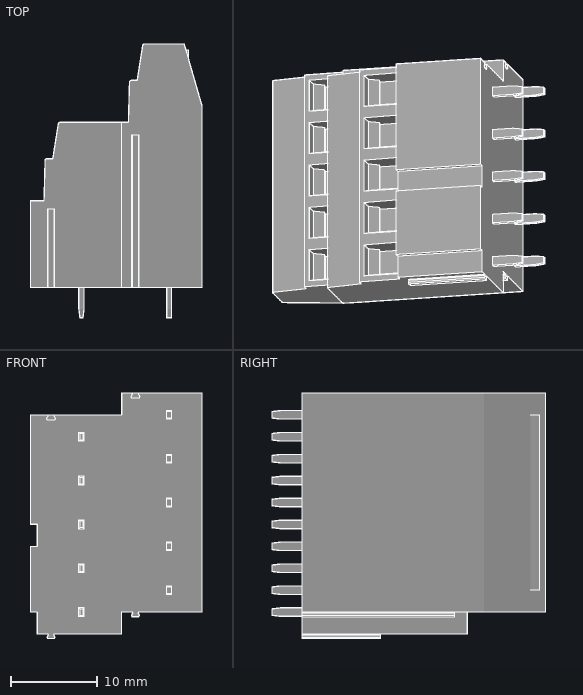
import cadquery as cq


POLES = 5
PITCH = 5.07
TIER_LENGTH = POLES * PITCH
UPPER_Z = PITCH / 2
TOTAL_WIDTH = 19.85
TIER_SPLIT_X = 10.55

LOWER_FOOT_X = 1.55
LOWER_FOOT_Y = 10.08
TIER_SHIFT_X = 9.75
TIER_SHIFT_Y = 9.07
UPPER_FOOT_X = LOWER_FOOT_X + TIER_SHIFT_X
UPPER_FOOT_Y = LOWER_FOOT_Y + TIER_SHIFT_Y
ENTRY_FACE_HEIGHT = 4.85
ENTRY_FACE_LEAN = 0.13
SHOULDER_X = 1.0
CREST_X = 1.68
CREST_Y = TIER_SHIFT_Y
EDGE_RADIUS = 0.25

BACK_CREST_X = 17.78
BACK_SLOPE_START_Y = 21.08
BACK_RIB_X = 18.3
BACK_RIB_TOP_Y = 27.5

NOTCH_DEPTH = 0.75
NOTCH_HEIGHT = PITCH / 2
NOTCH_SPACING = 2 * PITCH
NOTCH_COUNT = 2

POCKET_OPENING = 3.77
POCKET_DEPTH = 1.65
POCKET_DRAFT_INSET = 0.55
POCKET_TOP = 4.25
POCKET_END_POINT = (0.35, 4.15)
POCKET_CURVE_MID = (0.7, 4.05)
POCKET_RAMP_START = (0.92, 3.93)
POCKET_RAMP_END = (1.27, 2.73)
POCKET_OVERCUT = 0.32

DOVETAIL_OFFSET_X = 0.82
TONGUE_HEIGHT = 0.55
TONGUE_NECK = 0.63
TONGUE_WIDTH = 0.95
GROOVE_DEPTH = 0.6
GROOVE_NECK = 0.65
GROOVE_WIDTH = 1.05
DOVETAIL_ROOT_FLARE = 0.1
DOVETAIL_NECK_DEPTH = 0.1
DOVETAIL_TIP_INSET = 0.1
DOVETAIL_TIP_DEPTH = 0.15
LOWER_DOVETAIL_LENGTH = 9.1
UPPER_DOVETAIL_LENGTH = 17.65

PIN_LENGTH = 3.5
PIN_TIP = 1.0
PIN_HEIGHT = 1.0
PIN_TIP_HEIGHT = 0.75
LOWER_PIN_X = 5.9
LOWER_PIN_WIDTH = 0.63
LOWER_PIN_TIP_WIDTH = 0.38
UPPER_PIN_X = LOWER_PIN_X + 2 * PITCH
UPPER_PIN_WIDTH = 0.57


def nose_points(foot_x, foot_y):
    """Foot, entry-face top, shoulder and crest of a tier's stepped nose."""
    local = [
        (0, 0),
        (ENTRY_FACE_LEAN, ENTRY_FACE_HEIGHT),
        (SHOULDER_X, ENTRY_FACE_HEIGHT),
        (CREST_X, CREST_Y),
    ]
    return [(foot_x + x, foot_y + y) for x, y in local]


def tier(side_x, foot_x, foot_y, back_points, bottom_z):
    """Extrude one tier and round the two outer corners of its nose."""
    nose = nose_points(foot_x, foot_y)
    outline = [(side_x, 0), (side_x, foot_y)] + nose + back_points
    body = cq.Workplane("XY").workplane(offset=bottom_z).polyline(outline).close().extrude(TIER_LENGTH)
    mid_z = bottom_z + TIER_LENGTH / 2
    for x, y in (nose[1], nose[3]):
        corner = cq.selectors.NearestToPointSelector((x, y, mid_z))
        body = body.edges(corner).fillet(EDGE_RADIUS)
    return body


def pocket(foot_x, foot_y, center_z):
    """Cutter for one funnel-shaped wire entry that opens toward -X."""
    side = (
        cq.Workplane("XY")
        .moveTo(-POCKET_OVERCUT, 0)
        .lineTo(-POCKET_OVERCUT, POCKET_TOP)
        .lineTo(ENTRY_FACE_LEAN, POCKET_TOP)
        .lineTo(*POCKET_END_POINT)
        .threePointArc(POCKET_CURVE_MID, POCKET_RAMP_START)
        .lineTo(*POCKET_RAMP_END)
        .lineTo(POCKET_DEPTH, POCKET_RAMP_END[1])
        .lineTo(POCKET_DEPTH, 0)
        .close()
        .extrude(POCKET_OPENING, both=True)
    )
    half = POCKET_OPENING / 2
    half_floor = half - POCKET_DRAFT_INSET
    half_outside = half + POCKET_DRAFT_INSET * POCKET_OVERCUT / POCKET_DEPTH
    funnel = (
        cq.Workplane("XZ")
        .polyline([
            (-POCKET_OVERCUT, -half_outside),
            (POCKET_DEPTH, -half_floor),
            (POCKET_DEPTH, half_floor),
            (-POCKET_OVERCUT, half_outside),
        ])
        .close()
        .extrude(-POCKET_TOP)
    )
    return side.intersect(funnel).translate((foot_x, foot_y, center_z))


def dovetail(foot_x, face_z, neck, width, height, length):
    """Dovetail bar that hangs below face_z and runs from the solder face toward +Y."""
    tip = width - 2 * DOVETAIL_TIP_INSET
    right_half = [
        (neck / 2 + DOVETAIL_ROOT_FLARE, 0),
        (neck / 2, -DOVETAIL_NECK_DEPTH),
        (width / 2, DOVETAIL_TIP_DEPTH - height),
        (tip / 2, -height),
    ]
    left_half = [(-x, z) for x, z in reversed(right_half)]
    bar = cq.Workplane("XZ").polyline(right_half + left_half).close().extrude(-length)
    return bar.translate((foot_x + DOVETAIL_OFFSET_X, 0, face_z))


def pin(x, z, width, tip_width):
    """Solder pin with a tapered tip."""
    shank_length = PIN_LENGTH - PIN_TIP
    shank = cq.Workplane("XZ").rect(width, PIN_HEIGHT).extrude(shank_length)
    tip = (
        cq.Workplane("XZ", origin=(0, -shank_length, 0))
        .rect(width, PIN_HEIGHT)
        .workplane(offset=PIN_TIP)
        .rect(tip_width, PIN_TIP_HEIGHT)
        .loft(ruled=True)
    )
    return shank.union(tip).translate((x, 0, z))


lower_back = [(TIER_SPLIT_X, UPPER_FOOT_Y), (TIER_SPLIT_X, 0)]
upper_back = [
    (BACK_CREST_X, UPPER_FOOT_Y + CREST_Y),
    (TOTAL_WIDTH, BACK_SLOPE_START_Y),
    (TOTAL_WIDTH, 0),
]
lower_tier = tier(0, LOWER_FOOT_X, LOWER_FOOT_Y, lower_back, 0)
upper_tier = tier(TIER_SPLIT_X, UPPER_FOOT_X, UPPER_FOOT_Y, upper_back, UPPER_Z)
housing = lower_tier.union(upper_tier)

slope_run = TOTAL_WIDTH - BACK_CREST_X
slope_drop = UPPER_FOOT_Y + CREST_Y - BACK_SLOPE_START_Y
rib_foot_y = BACK_SLOPE_START_Y + (TOTAL_WIDTH - BACK_RIB_X) * slope_drop / slope_run
back_rib = (
    cq.Workplane("XY")
    .workplane(offset=UPPER_Z + PITCH / 2)
    .polyline([
        (BACK_CREST_X, BACK_RIB_TOP_Y),
        (BACK_RIB_X, BACK_RIB_TOP_Y),
        (BACK_RIB_X, rib_foot_y),
        (BACK_CREST_X, rib_foot_y),
    ])
    .close()
    .extrude(TIER_LENGTH - PITCH)
)
housing = housing.union(back_rib)

for index in range(NOTCH_COUNT):
    notch = cq.Workplane("XY").box(NOTCH_DEPTH, LOWER_FOOT_Y, NOTCH_HEIGHT, centered=False)
    housing = housing.cut(notch.translate((0, 0, index * NOTCH_SPACING)))

tiers = [
    (0, LOWER_FOOT_X, LOWER_FOOT_Y, LOWER_DOVETAIL_LENGTH),
    (UPPER_Z, UPPER_FOOT_X, UPPER_FOOT_Y, UPPER_DOVETAIL_LENGTH),
]
for bottom_z, foot_x, foot_y, dovetail_length in tiers:
    for pole in range(POLES):
        center_z = bottom_z + (pole + 0.5) * PITCH
        housing = housing.cut(pocket(foot_x, foot_y, center_z))
    top_z = bottom_z + TIER_LENGTH
    groove = dovetail(foot_x, top_z, GROOVE_NECK, GROOVE_WIDTH, GROOVE_DEPTH, dovetail_length)
    tongue = dovetail(foot_x, bottom_z, TONGUE_NECK, TONGUE_WIDTH, TONGUE_HEIGHT, dovetail_length)
    housing = housing.cut(groove).union(tongue)

for pole in range(POLES):
    lower_z = (pole + 0.5) * PITCH
    housing = housing.union(pin(LOWER_PIN_X, lower_z, LOWER_PIN_WIDTH, LOWER_PIN_TIP_WIDTH))
    housing = housing.union(pin(UPPER_PIN_X, lower_z + UPPER_Z, UPPER_PIN_WIDTH, UPPER_PIN_WIDTH))

result = housing